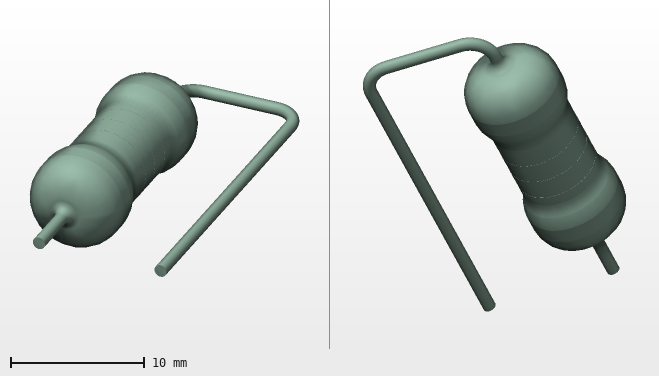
import cadquery as cq
import math

total_length = 26.1
lead_diameter = 1.0
lead_pitch = 10.0
bend_radius = 2.0

cap_diameter = 7.5
core_diameter = 6.37
band_diameter = 6.4
body_length = 17.98
body_center_y = 13.6
neck_fillet = 0.73
core_length = 6.05
shoulder_length = 2.2
band_count = 4

lead_radius = lead_diameter / 2
cap_radius = cap_diameter / 2
neck_base_radius = lead_radius + neck_fillet
dome_radius = cap_radius - neck_base_radius
waist_radius = band_diameter / 2
fold_y = total_length - lead_radius
bend_start_y = fold_y - bend_radius
diagonal = math.sqrt(0.5)

half_body = body_length / 2
half_core = core_length / 2
shoulder_middle = half_core + shoulder_length / 2
shoulder_end = half_core + shoulder_length
dome_start = half_body - dome_radius

shoulder_rise = (cap_radius - waist_radius) / 2
shoulder_radius = ((shoulder_length / 2) ** 2 + shoulder_rise**2) / (2 * shoulder_rise)
quarter_span = shoulder_length / 4
quarter_rise = shoulder_radius - math.sqrt(shoulder_radius**2 - quarter_span**2)


def make_half_body():
    """Revolved half of the body, from its middle plane towards +Y."""
    neck_top = half_body + neck_fillet
    profile = (
        cq.Workplane("XY")
        .lineTo(waist_radius, 0)
        .lineTo(waist_radius, half_core)
        .threePointArc(
            (waist_radius + quarter_rise, half_core + quarter_span),
            (waist_radius + shoulder_rise, shoulder_middle),
        )
        .threePointArc(
            (cap_radius - quarter_rise, shoulder_end - quarter_span),
            (cap_radius, shoulder_end),
        )
        .lineTo(cap_radius, dome_start)
        .threePointArc(
            (neck_base_radius + dome_radius * diagonal, dome_start + dome_radius * diagonal),
            (neck_base_radius, half_body),
        )
        .threePointArc(
            (neck_base_radius - neck_fillet * diagonal, neck_top - neck_fillet * diagonal),
            (lead_radius, neck_top),
        )
        .lineTo(0, neck_top)
        .close()
    )
    return profile.revolve(360, (0, 0, 0), (0, 1, 0))


def make_body():
    """Both body halves, with grooves at core diameter between the raised bands."""
    half = make_half_body()
    body = half.union(half.mirror("XZ"))
    stripe_width = core_length / (2 * band_count - 1)
    for index in range(1, band_count):
        groove_start = -half_core + (2 * index - 1) * stripe_width
        groove = (
            cq.Workplane("XZ", origin=(0, groove_start, 0))
            .circle(cap_radius)
            .circle(core_diameter / 2)
            .extrude(-stripe_width)
        )
        body = body.cut(groove)
    return body.translate((0, body_center_y, 0))


def make_lead():
    """Round wire through the body, bent twice to return parallel to it."""
    bend_offset = bend_radius * (1 - diagonal)
    path = (
        cq.Workplane("XY")
        .lineTo(0, bend_start_y)
        .threePointArc((bend_offset, fold_y - bend_offset), (bend_radius, fold_y))
        .lineTo(lead_pitch - bend_radius, fold_y)
        .threePointArc(
            (lead_pitch - bend_offset, fold_y - bend_offset),
            (lead_pitch, bend_start_y),
        )
        .lineTo(lead_pitch, 0)
    )
    return cq.Workplane("XZ").circle(lead_radius).sweep(path)


result = make_body().union(make_lead())